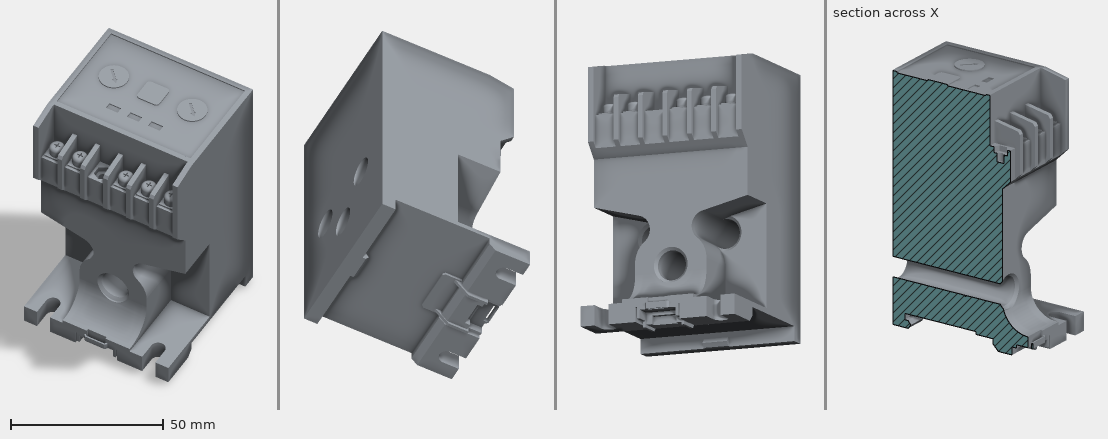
import cadquery as cq
import math


width = 55.0
depth = 55.0
height = 90.0
half_width = width / 2
wall_front = 11.0
overhang_front = 6.0
chamfer_bottom = 58.0
chamfer_top = chamfer_bottom + wall_front - overhang_front
ear_slope_start = 15.0
ear_drop = 2.0

channel_height = 5.0
channel_front = 15.0
channel_back = 50.0
channel_chamfer = 2.2
hook_width = 8.7
hook_reach = 2.3
hook_height = 2.9
hook_bevel = 1.1

pocket_back = 26.8
base_top = 6.8
column_half = 12.7
column_arc_z = 22.0
pocket_edge_z = 41.9
foot_radius = 10
foot_land = wall_front - foot_radius
foot_z = 8.0

hole_radius = 5.0
hole_chamfer = 1.0
side_hole_x = 12.5
side_hole_z = 33.0
center_hole_z = 20.6

slot_x = 20
slot_width = 5.0
slot_end_y = 6.0

bay_half = 25.5
bay_back = 16.0
terminal_top = 72.2
terminal_front = 7.9
terminal_pitch = 8.7
terminal_y = 11.9
divider_width = 1.7
divider_top = 80.0
divider_slope_y = 6.7
divider_slope_z = 78.3
divider_front_z = 77.2
nut_bay = 2
terminal_count = 6

washer_size = 6.1
washer_height = 0.6
head_radius = 2.59
head_height = 3.3
head_round = 1.1
cross_span = 2.2
cross_width = 0.5
cross_depth = 0.9
nut_flats = 5.3
nut_depth = 2.0
stud_radius = 1.55
stud_depth = 5.0

panel_back = 53.1
panel_front = 17.8
panel_depth = 0.5
panel_floor = height - panel_depth
control_y = 36.95
control_height = 0.5
knob_x = 14.9
knob_radius = 5.0
button_size = 8.4
button_corner = 1.3
lamp_y = 24.9
lamp_pitch = 8.0
lamp_length = 4.5
lamp_width = 2.3
lamp_depth = 0.5
arrow_length = 6.4
arrow_width = 0.9
arrow_head = 1.8
arrow_angle = -47
arrow_depth = 0.3

clip_half = 6.4
clip_sheet = 1.0
clip_bottom = -1.0
clip_plate_bottom = channel_height - clip_sheet
clip_plate_back = 21.8
clip_plate_corner = 0.8
clip_arm_front = 4.9
clip_nose_z = 1.1
clip_arm_slope_y = 12.2
arm_slot_half = 7.9
notch_depth = 5.5
recess_half = 4.4
recess_height = 2.8
recess_back = 7.3
loop_half = 4.4
loop_top = 6.1
loop_reach = 1.0
loop_bevel = 0.7
loop_sheet = 0.55
loop_notch_half = 3.55
loop_notch_depth = 0.8


def box(x0, x1, y0, y1, z0, z1):
    return cq.Workplane("XY").box(x1 - x0, y1 - y0, z1 - z0, centered=False).translate((x0, y0, z0))


def extrude_x(points, x0, x1):
    """Extrude a (Y, Z) outline from x0 to x1."""
    return cq.Workplane("YZ").polyline(points).close().extrude(x1 - x0).translate((x0, 0, 0))


def cylinder_y(x, z, radius, y0, y1):
    return cq.Workplane("XZ", origin=(x, y0, z)).circle(radius).extrude(y0 - y1)


def hole_chamfer_cut(x, z, face_y, reach):
    """Chamfer tool for a hole opening in the face at face_y, cleared forwards by reach."""
    outer = hole_radius + hole_chamfer
    cone = cq.Solid.makeCone(
        outer, hole_radius, hole_chamfer, cq.Vector(x, face_y, z), cq.Vector(0, 1, 0)
    )
    return cylinder_y(x, z, outer, face_y - reach, face_y).union(cq.Workplane(cone))


def make_housing():
    profile = [
        (0, 0),
        (channel_front - channel_chamfer, 0),
        (channel_front, channel_chamfer),
        (channel_front, channel_height),
        (channel_back, channel_height),
        (channel_back, 0),
        (depth, 0),
        (depth, height),
        (ear_slope_start, height),
        (overhang_front, height - ear_drop),
        (overhang_front, chamfer_top),
        (wall_front, chamfer_bottom),
        (wall_front, pocket_edge_z),
        (pocket_back, pocket_edge_z),
        (pocket_back, base_top),
        (0, base_top),
    ]
    return extrude_x(profile, -half_width, half_width)


def make_column_outline():
    """Front outline of the column, waisted around the two side holes."""
    rise = side_hole_z - column_arc_z
    inset = column_half - side_hole_x
    flank_radius = (rise**2 + inset**2 - hole_radius**2) / (2 * (hole_radius + inset))
    to_flank = math.atan2(-rise, flank_radius - inset)
    waist_low = (
        -side_hole_x + hole_radius * math.cos(to_flank),
        side_hole_z + hole_radius * math.sin(to_flank),
    )
    flank_angle = (math.pi + to_flank + math.pi) / 2
    flank_mid = (
        -column_half + flank_radius + flank_radius * math.cos(flank_angle),
        column_arc_z + flank_radius * math.sin(flank_angle),
    )
    run_x = half_width - side_hole_x
    run_z = pocket_edge_z - side_hole_z
    slope = math.atan2(run_z, -run_x) - math.acos(hole_radius / math.hypot(run_x, run_z))
    waist_high = (
        -side_hole_x + hole_radius * math.cos(slope),
        side_hole_z + hole_radius * math.sin(slope),
    )
    waist_mid = (-side_hole_x + hole_radius, side_hole_z)

    def mirrored(point):
        return (-point[0], point[1])

    return (
        cq.Workplane("XZ")
        .moveTo(-column_half, base_top)
        .lineTo(-column_half, column_arc_z)
        .threePointArc(flank_mid, waist_low)
        .threePointArc(waist_mid, waist_high)
        .lineTo(-half_width, pocket_edge_z)
        .lineTo(half_width, pocket_edge_z)
        .lineTo(*mirrored(waist_high))
        .threePointArc(mirrored(waist_mid), mirrored(waist_low))
        .threePointArc(mirrored(flank_mid), (column_half, column_arc_z))
        .lineTo(column_half, base_top)
        .close()
    )


def make_column():
    """Column reaching back past the pocket wall, with a rounded foot at the front."""
    back = pocket_back + hole_chamfer
    foot_mid = foot_radius * math.sqrt(0.5)
    side = (
        cq.Workplane("YZ")
        .moveTo(0, base_top)
        .lineTo(0, foot_z)
        .lineTo(foot_land, foot_z)
        .threePointArc(
            (foot_land + foot_mid, foot_z + foot_radius - foot_mid),
            (wall_front, foot_z + foot_radius),
        )
        .lineTo(wall_front, pocket_edge_z)
        .lineTo(back, pocket_edge_z)
        .lineTo(back, base_top)
        .close()
        .extrude(half_width, both=True)
    )
    return make_column_outline().extrude(-back).intersect(side)


def add_column_and_holes(body):
    for x in (-side_hole_x, side_hole_x):
        body = body.cut(hole_chamfer_cut(x, side_hole_z, pocket_back, hole_chamfer))
    body = body.union(make_column())
    body = body.cut(hole_chamfer_cut(0, center_hole_z, wall_front, foot_radius / 2))
    hole_places = [(-side_hole_x, side_hole_z), (side_hole_x, side_hole_z), (0, center_hole_z)]
    for x, z in hole_places:
        body = body.cut(cylinder_y(x, z, hole_radius, 0, depth))
    return body


def cut_mounting_slots(body):
    for x in (-slot_x, slot_x):
        half = slot_width / 2
        slot = box(x - half, x + half, 0, slot_end_y, 0, base_top)
        slot_round = cq.Workplane("XY").center(x, slot_end_y).circle(half).extrude(base_top)
        body = body.cut(slot).cut(slot_round)
    return body


def make_dividers():
    profile = [
        (bay_back, divider_top),
        (divider_slope_y, divider_slope_z),
        (overhang_front, divider_front_z),
        (overhang_front, chamfer_top),
        (wall_front, chamfer_bottom),
        (bay_back, chamfer_bottom),
    ]
    dividers = cq.Workplane("XY")
    half = divider_width / 2
    for index in range(1, terminal_count):
        x = (index - terminal_count / 2) * terminal_pitch
        dividers = dividers.union(extrude_x(profile, x - half, x + half))
    return dividers


def make_screw(x):
    base = cq.Workplane("XY", origin=(x, terminal_y, terminal_top))
    washer = base.rect(washer_size, washer_size).extrude(washer_height)
    head = base.workplane(offset=washer_height).circle(head_radius).extrude(head_height)
    head = head.faces(">Z").edges().fillet(head_round)
    cross_top = base.workplane(offset=washer_height + head_height)
    for size in ((cross_span, cross_width), (cross_width, cross_span)):
        head = head.cut(cross_top.rect(*size).extrude(-cross_depth))
    return washer.union(head)


def make_nut_pocket(x):
    top = cq.Workplane("XY", origin=(x, terminal_y, terminal_top))
    corner_diameter = nut_flats / math.cos(math.pi / 6)
    pocket = top.transformed(rotate=(0, 0, 90)).polygon(6, corner_diameter).extrude(-nut_depth)
    return pocket.union(top.circle(stud_radius).extrude(-stud_depth))


def add_terminals(body):
    body = body.cut(box(-bay_half, bay_half, 0, bay_back, terminal_top, height))
    body = body.cut(box(-bay_half, bay_half, 0, terminal_front, chamfer_bottom, terminal_top))
    body = body.union(make_dividers())
    for index in range(terminal_count):
        x = (index - (terminal_count - 1) / 2) * terminal_pitch
        if index == nut_bay:
            body = body.cut(make_nut_pocket(x))
        else:
            body = body.union(make_screw(x))
    return body


def make_knob(x):
    top = panel_floor + control_height
    base = cq.Workplane("XY", origin=(x, control_y, panel_floor))
    knob = base.circle(knob_radius).extrude(control_height)
    neck = arrow_length / 2 - arrow_head
    arrow = (
        cq.Workplane("XY")
        .polyline([
            (-arrow_length / 2, -arrow_width / 2),
            (neck, -arrow_width / 2),
            (neck, -arrow_head / 2),
            (arrow_length / 2, 0),
            (neck, arrow_head / 2),
            (neck, arrow_width / 2),
            (-arrow_length / 2, arrow_width / 2),
        ])
        .close()
        .extrude(-arrow_depth)
        .rotate((0, 0, 0), (0, 0, 1), arrow_angle)
        .translate((x, control_y, top))
    )
    return knob.cut(arrow)


def add_top_panel(body):
    body = body.cut(box(-bay_half, bay_half, panel_front, panel_back, panel_floor, height))
    for x in (-knob_x, knob_x):
        body = body.union(make_knob(x))
    floor = cq.Workplane("XY", origin=(0, 0, panel_floor))
    button = floor.center(0, control_y).rect(button_size, button_size).extrude(control_height)
    body = body.union(button.edges("|Z").fillet(button_corner))
    for x in (-lamp_pitch, 0, lamp_pitch):
        lamp_window = floor.center(x, lamp_y).rect(lamp_length, lamp_width).extrude(-lamp_depth)
        body = body.cut(lamp_window)
    return body


def make_hook():
    tip = channel_back - hook_reach
    profile = [
        (channel_back, 0),
        (tip + hook_bevel, 0),
        (tip, hook_height / 2),
        (tip + hook_bevel, hook_height),
        (channel_back, hook_height),
    ]
    return extrude_x(profile, -hook_width / 2, hook_width / 2)


def cut_clip_slots(body):
    body = body.cut(box(-clip_half, clip_half, 0, notch_depth, 0, clip_plate_bottom))
    body = body.cut(box(-recess_half, recess_half, notch_depth, recess_back, 0, recess_height))
    for x0, x1 in ((-arm_slot_half, -clip_half), (clip_half, arm_slot_half)):
        body = body.cut(box(x0, x1, 0, channel_front, 0, channel_height))
    return body.cut(
        box(-loop_notch_half, loop_notch_half, 0, loop_notch_depth, clip_plate_bottom, foot_z)
    )


def make_clip_loop():
    """Narrow sheet loop standing off the front of the base."""
    inner_half = loop_half - loop_sheet
    inner_reach = loop_reach - loop_sheet
    outer = [
        (-loop_half, 0),
        (-loop_half, loop_bevel - loop_reach),
        (loop_bevel - loop_half, -loop_reach),
        (loop_half - loop_bevel, -loop_reach),
        (loop_half, loop_bevel - loop_reach),
        (loop_half, 0),
    ]
    inner = [
        (-inner_half, 0),
        (inner_reach - inner_half, -inner_reach),
        (inner_half - inner_reach, -inner_reach),
        (inner_half, 0),
    ]
    plane = cq.Workplane("XY", origin=(0, 0, clip_plate_bottom))
    loop_height = loop_top - clip_plate_bottom
    loop = plane.polyline(outer).close().extrude(loop_height)
    return loop.cut(plane.polyline(inner).close().extrude(loop_height))


def make_clip():
    """Spring clip: a plate under the channel roof, two side arms and the front loop."""
    outer_half = clip_half + clip_sheet
    plate = box(
        -arm_slot_half, arm_slot_half, channel_front, clip_plate_back, clip_plate_bottom, channel_height
    )
    clip = plate.edges("|Z and >Y").chamfer(clip_plate_corner)
    slope_end_y = clip_arm_slope_y + channel_height - clip_sheet - clip_bottom
    arm = [
        (clip_arm_front, clip_bottom),
        (clip_arm_slope_y, clip_bottom),
        (slope_end_y, clip_plate_bottom),
        (slope_end_y, channel_height),
        (0, channel_height),
        (0, clip_nose_z),
        (clip_arm_front, clip_nose_z),
    ]
    for x0, x1 in ((-outer_half, -clip_half), (clip_half, outer_half)):
        clip = clip.union(extrude_x(arm, x0, x1))
    return clip.union(make_clip_loop())


result = make_housing()
result = add_column_and_holes(result)
result = cut_mounting_slots(result)
result = add_terminals(result)
result = add_top_panel(result)
result = result.union(make_hook())
result = cut_clip_slots(result)
result = result.union(make_clip())